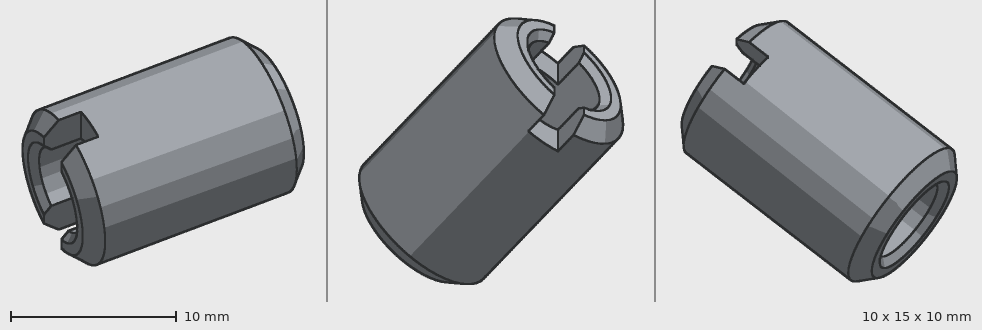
import cadquery as cq

length = 15.0
outer_diameter = 10.0
bore_diameter = 5.5
outer_chamfer = 1.0
bore_chamfer = 0.5
slot_width = 2.3
slot_depth = 2.5

outer_radius = outer_diameter / 2
bore_radius = bore_diameter / 2


def make_sleeve():
    """Revolve the wall section, chamfered inside and outside at both ends."""
    section = [
        (bore_radius + bore_chamfer, 0),
        (outer_radius - outer_chamfer, 0),
        (outer_radius, outer_chamfer),
        (outer_radius, length - outer_chamfer),
        (outer_radius - outer_chamfer, length),
        (bore_radius + bore_chamfer, length),
        (bore_radius, length - bore_chamfer),
        (bore_radius, bore_chamfer),
    ]
    return cq.Workplane("XY").polyline(section).close().revolve(360, (0, 0, 0), (0, 1, 0))


def make_driver_slot():
    """Block that cuts across the full diameter at the -Y end."""
    return cq.Workplane("XY").box(
        slot_width, slot_depth, outer_diameter, centered=(True, False, True)
    )


result = make_sleeve().cut(make_driver_slot())